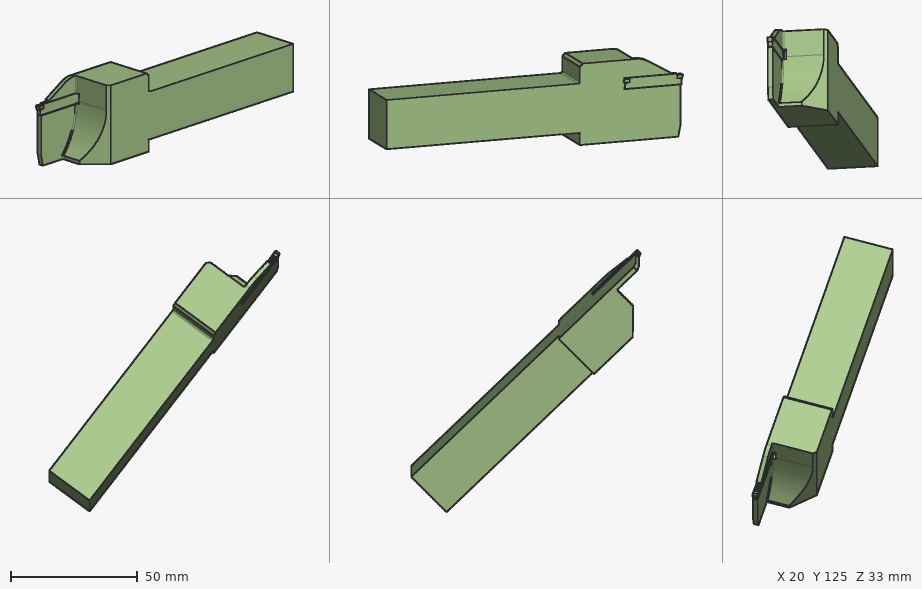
import cadquery as cq
import math


LENGTH = 125.0
SHANK_SIZE = 20.0
HEAD_HEIGHT = 33.0
HEAD_BACK_Y = 43.5
SHANK_BOTTOM_Z = 5.0
SHANK_TOP_Z = SHANK_BOTTOM_Z + SHANK_SIZE
HEAD_BACK_CHAMFER = 1.3
SHANK_ROOT_FILLET = 0.8

BLADE_WIDTH = 2.0
BLADE_FRONT_Y = 1.0
BLADE_TOE_Y = 2.0
BLADE_TOE_Z = 5.0
NOSE_Y = 5.5
NOSE_Z = 26.4
NOSE_SLOPE = 30.0
NOSE_RADIUS = 10.0

RELIEF_TOP_Y = 20.8
RELIEF_BOTTOM_Y = 13.3
RELIEF_ARC_TOP_Z = 22.6
RELIEF_ARC_BOTTOM_Z = 1.5
RELIEF_FILLET = 0.5
CORNER_CHAMFER_Y = 22.0

SLOT_TOP_Z = 25.6
SLOT_BOTTOM_Z = 21.5
SLOT_WIDTH = 3.5
SLOT_END_Y = 24.6
RIDGE_HEIGHT = 0.4
RIDGE_WIDTH = 1.0
TIP_POCKET_DIAMETER = 1.0
TIP_POCKET_Z = 24.6

INSERT_LENGTH = 24.9
CUTTING_Z = SHANK_TOP_Z
BODY_INSET = 0.1
HEAD_LENGTH = 2.4
HEAD_BOTTOM_Z = 23.8
HEAD_RELIEF_Y = 0.5
HEAD_HEEL_Z = 23.3
BODY_END_Y = 0.6
CHIP_WALL_Y = 2.6
CHIP_FLOOR_Y = 2.1
CHIP_RIDGE_Y = 0.9
CHIP_RIDGE_HEIGHT = 0.3

OVERCUT = 1.3


def extrude_x(points, start, end):
    """Straight-sided (y, z) outline extruded along X from start to end."""
    return cq.Workplane("YZ", origin=(start, 0, 0)).polyline(points).close().extrude(end - start)


def v_section(start_y, end_y):
    """Bar along Y with the section of the insert seat: flat sides, a V groove along top and bottom."""
    middle = BLADE_WIDTH / 2
    edge_bottom = SLOT_BOTTOM_Z - RIDGE_HEIGHT
    groove_left = middle - RIDGE_WIDTH / 2
    groove_right = middle + RIDGE_WIDTH / 2
    section = [
        (0, edge_bottom),
        (groove_left, edge_bottom),
        (middle, SLOT_BOTTOM_Z),
        (groove_right, edge_bottom),
        (BLADE_WIDTH, edge_bottom),
        (BLADE_WIDTH, SLOT_TOP_Z),
        (groove_right, SLOT_TOP_Z),
        (middle, SLOT_TOP_Z - RIDGE_HEIGHT),
        (groove_left, SLOT_TOP_Z),
        (0, SLOT_TOP_Z),
    ]
    return cq.Workplane("XZ", origin=(0, start_y, 0)).polyline(section).close().extrude(start_y - end_y)


def holder_blank():
    """Shank, head and blade outline across the full width."""
    slope_top_y = NOSE_Y + (HEAD_HEIGHT - NOSE_Z) / math.tan(math.radians(NOSE_SLOPE))
    outline = [
        (LENGTH, SHANK_BOTTOM_Z),
        (LENGTH, SHANK_TOP_Z),
        (HEAD_BACK_Y, SHANK_TOP_Z),
        (HEAD_BACK_Y, HEAD_HEIGHT - HEAD_BACK_CHAMFER),
        (HEAD_BACK_Y - HEAD_BACK_CHAMFER, HEAD_HEIGHT),
        (slope_top_y, HEAD_HEIGHT),
        (NOSE_Y, NOSE_Z),
        (NOSE_Y, SLOT_BOTTOM_Z),
        (BLADE_FRONT_Y, SLOT_BOTTOM_Z),
        (BLADE_FRONT_Y, BLADE_TOE_Z),
        (BLADE_TOE_Y, 0),
        (HEAD_BACK_Y, 0),
        (HEAD_BACK_Y, SHANK_BOTTOM_Z),
    ]
    blank = extrude_x(outline, 0, SHANK_SIZE)
    rounded_corners = [
        (HEAD_BACK_Y, SHANK_TOP_Z, SHANK_ROOT_FILLET),
        (slope_top_y, HEAD_HEIGHT, NOSE_RADIUS),
    ]
    for y, z, radius in rounded_corners:
        corner = cq.selectors.NearestToPointSelector((SHANK_SIZE / 2, y, z))
        blank = blank.edges("|X").edges(corner).fillet(radius)
    return blank


def relief_cutter():
    """Space beside the blade, with a concave arc in its back wall and a filleted inner corner."""
    run = RELIEF_TOP_Y - RELIEF_BOTTOM_Y
    drop = RELIEF_ARC_TOP_Z - RELIEF_ARC_BOTTOM_Z
    radius = (run**2 + drop**2) / (2 * run)
    half_angle = math.atan2(run, drop)
    arc_middle = (
        RELIEF_TOP_Y - radius * (1 - math.cos(half_angle)),
        RELIEF_ARC_TOP_Z - radius * math.sin(half_angle),
    )
    cutter = (
        cq.Workplane("YZ", origin=(BLADE_WIDTH, 0, 0))
        .moveTo(-OVERCUT, -OVERCUT)
        .lineTo(RELIEF_BOTTOM_Y, -OVERCUT)
        .lineTo(RELIEF_BOTTOM_Y, RELIEF_ARC_BOTTOM_Z)
        .threePointArc(arc_middle, (RELIEF_TOP_Y, RELIEF_ARC_TOP_Z))
        .lineTo(RELIEF_TOP_Y, HEAD_HEIGHT + OVERCUT)
        .lineTo(-OVERCUT, HEAD_HEIGHT + OVERCUT)
        .close()
        .extrude(SHANK_SIZE)
    )
    back_wall = cq.selectors.BoxSelector(
        (BLADE_WIDTH - OVERCUT, 0, -2 * OVERCUT),
        (BLADE_WIDTH + OVERCUT, LENGTH, HEAD_HEIGHT),
    )
    return cutter.faces("<X").edges(back_wall).edges("not(<Z or >Z)").fillet(RELIEF_FILLET)


def corner_cutter():
    """45 degree cut across the front corner on the +X side, ending in the space beside the blade."""
    front_y = RELIEF_BOTTOM_Y - OVERCUT
    return (
        cq.Workplane("XY", origin=(0, 0, -OVERCUT))
        .moveTo(SHANK_SIZE + OVERCUT, CORNER_CHAMFER_Y + OVERCUT)
        .lineTo(SHANK_SIZE - CORNER_CHAMFER_Y + front_y, front_y)
        .lineTo(SHANK_SIZE + OVERCUT, front_y)
        .close()
        .extrude(HEAD_HEIGHT + 2 * OVERCUT)
    )


def slot_cutter():
    """Insert seat with V ridges, the clearance beside it and a pocket for the rear cutting edge."""
    seat = v_section(-OVERCUT, SLOT_END_Y)
    clearance = cq.Workplane("XY").box(
        SLOT_WIDTH - BLADE_WIDTH,
        SLOT_END_Y + OVERCUT,
        SLOT_TOP_Z - SLOT_BOTTOM_Z,
        centered=False,
    ).translate((BLADE_WIDTH, -OVERCUT, SLOT_BOTTOM_Z))
    tip_pocket = (
        cq.Workplane("YZ")
        .center(SLOT_END_Y, TIP_POCKET_Z)
        .circle(TIP_POCKET_DIAMETER / 2)
        .extrude(BLADE_WIDTH)
    )
    return seat.union(clearance).union(tip_pocket)


def make_holder():
    return holder_blank().cut(relief_cutter()).cut(corner_cutter()).cut(slot_cutter())


def both_ends(points):
    """Closed outline from the points of its front end and their mirror image at the rear end."""
    return points + [(INSERT_LENGTH - y, z) for y, z in reversed(points)]


def insert_head():
    """Full-width cutting head at Y = 0 with a ridged chip former on top."""
    outline = [
        (0, CUTTING_Z),
        (CHIP_RIDGE_Y, CUTTING_Z + CHIP_RIDGE_HEIGHT),
        (CHIP_FLOOR_Y, CUTTING_Z),
        (HEAD_LENGTH, CUTTING_Z),
        (HEAD_LENGTH, HEAD_BOTTOM_Z),
        (BODY_END_Y + HEAD_RELIEF_Y, HEAD_BOTTOM_Z),
        (HEAD_RELIEF_Y, HEAD_HEEL_Z),
    ]
    return extrude_x(outline, 0, BLADE_WIDTH)


def make_insert():
    """Grooved body with a cutting head at each end."""
    body_end = [
        (CHIP_WALL_Y, SLOT_TOP_Z),
        (CHIP_FLOOR_Y, CUTTING_Z),
        (BODY_END_Y, CUTTING_Z),
        (BODY_END_Y, SLOT_BOTTOM_Z - RIDGE_HEIGHT),
    ]
    body = extrude_x(both_ends(body_end), BODY_INSET, BLADE_WIDTH - BODY_INSET)
    body = body.intersect(v_section(0, INSERT_LENGTH))
    front_head = insert_head()
    rear_head = front_head.mirror("XZ").translate((0, INSERT_LENGTH, 0))
    return body.union(front_head).union(rear_head)


holder = make_holder()
insert = make_insert()

result = cq.Compound.makeCompound([holder.val(), insert.val()])